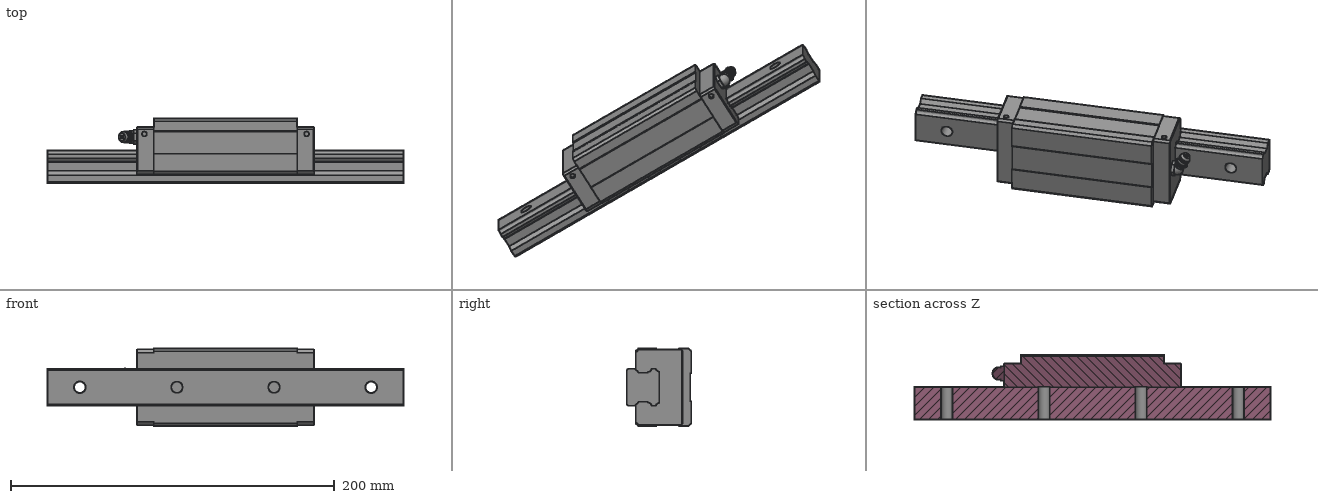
import cadquery as cq
import math


rail_length = 220.0
rail_width = 23.0
rail_height = 20.3
rail_foot_chamfer = 1.0
rail_top_half_width = 9.7
rail_crown_y = 19.9
rail_ridge_top_y = 17.7
rail_ridge_bottom_y = 15.5
rail_ridge_chamfer = 0.4
rail_waist_half_width = 9.1
rail_waist_top_y = 13.0
rail_waist_chamfer = 0.4
rail_track_radius = 2.5
rail_waist_bottom_y = 7.5
rail_foot_top_y = 5.0
rail_hole_diameter = 7.0
rail_hole_pitch = 60.0
rail_hole_count = 4

cutter_size = 200.0

assembly_height = 40.0
block_length = 88.5
block_width = 48.0
carriage_bottom_y = 5.5
block_chamfer = 1.8
side_recess_depth = 0.8
side_recess_bottom_y = 18.3
side_recess_top_y = 31.8
side_recess_slope = 0.6
top_recess_half_width = 8.6
top_recess_depth = 0.6

carriage_length = 109.6
cap_width = 47.1
cap_top_y = 34.7
cap_bottom_chamfer = 2.2
cap_top_chamfer = 1.4
cap_end_chamfer = 0.5
cap_hole_diameter = 3.0
cap_hole_depth = 2.5
cap_hole_x = 50.1
cap_hole_y = 30.4

nipple_y = 28.5
nipple_tilt = 30.0
nut_flats = 8.0
nut_thickness = 2.0
elbow_offset = 3.1
elbow_radius = 3.95
body_flats = 7.0
stem_radius = 3.0
body_bottom = 4.5
body_top = 5.9
neck_radius = 2.9
head_bottom = 8.4
head_radius = 3.3
head_cone_bottom = 10.2
tip_height = 12.2
tip_radius = 2.3
tip_bore_diameter = 1.8
tip_bore_depth = 2.0


def extrude_along_x(outline, length):
    """Extrude an outline on the YZ plane to both sides of X = 0."""
    return outline.extrude(length / 2, both=True)


def mirrored_outline(half_points):
    """Close a (Y, Z) outline from its +Z half, listed from one end of the centre line."""
    other_half = [(y, -z) for y, z in reversed(half_points)]
    return cq.Workplane("YZ").polyline(half_points + other_half).close()


def make_half_rail_bar():
    """The rail without its holes, on the +Z side only."""
    half_width = rail_width / 2
    ridge_edge_y = rail_ridge_top_y + rail_ridge_chamfer
    ridge_edge_half_width = half_width - rail_ridge_chamfer
    outline = (
        cq.Workplane("YZ")
        .lineTo(0, half_width - rail_foot_chamfer)
        .lineTo(rail_foot_chamfer, half_width)
        .lineTo(rail_foot_top_y, half_width)
        .lineTo(rail_waist_bottom_y, rail_waist_half_width)
        .lineTo(rail_waist_top_y, rail_waist_half_width)
        .lineTo(rail_waist_top_y + rail_waist_chamfer, rail_waist_half_width + rail_waist_chamfer)
        .radiusArc((rail_ridge_bottom_y, half_width), -rail_track_radius)
        .lineTo(rail_ridge_top_y, half_width)
        .lineTo(ridge_edge_y, ridge_edge_half_width)
        .radiusArc((rail_crown_y, rail_top_half_width), -rail_track_radius)
        .lineTo(rail_height, rail_top_half_width)
        .lineTo(rail_height, 0)
        .close()
    )
    return extrude_along_x(outline, rail_length)


def make_rail_bar():
    half_bar = make_half_rail_bar()
    return half_bar.union(half_bar.mirror("XY")).clean()


def make_rail(bar):
    holes = (
        cq.Workplane("XZ")
        .rarray(rail_hole_pitch, 1, rail_hole_count, 1)
        .circle(rail_hole_diameter / 2)
        .extrude(-rail_height)
    )
    return bar.cut(holes)


def make_block():
    half_width = block_width / 2
    recess_half_width = half_width - side_recess_depth
    outline = mirrored_outline([
        (carriage_bottom_y, half_width - block_chamfer),
        (carriage_bottom_y + block_chamfer, half_width),
        (side_recess_bottom_y, half_width),
        (side_recess_bottom_y, recess_half_width),
        (side_recess_top_y, recess_half_width),
        (side_recess_top_y + side_recess_slope, half_width),
        (assembly_height - block_chamfer, half_width),
        (assembly_height, half_width - block_chamfer),
        (assembly_height, top_recess_half_width),
        (assembly_height - top_recess_depth, top_recess_half_width),
    ])
    return extrude_along_x(outline, block_length)


def make_caps():
    """Both end caps as one bar through the block, so that the union with it is one solid."""
    half_width = cap_width / 2
    outline = mirrored_outline([
        (carriage_bottom_y, half_width - cap_bottom_chamfer),
        (carriage_bottom_y + cap_bottom_chamfer, half_width),
        (cap_top_y - cap_top_chamfer, half_width),
        (cap_top_y, half_width - cap_top_chamfer),
    ])
    bar = extrude_along_x(outline, carriage_length)
    bar = bar.faces("<X or >X").edges(">Y or <Z or >Z").chamfer(cap_end_chamfer)
    gap = cq.Workplane("XY").box(block_length, cutter_size, cutter_size)
    return bar.cut(gap)


def make_cap_holes():
    """Blind holes in both sides of each end cap."""
    centres = [(-cap_hole_x, cap_hole_y), (cap_hole_x, cap_hole_y)]
    core_width = cap_width - 2 * cap_hole_depth
    holes = cq.Workplane("XY").pushPoints(centres).circle(cap_hole_diameter / 2)
    core = cq.Workplane("XY").box(cutter_size, cutter_size, core_width)
    return holes.extrude(block_width / 2, both=True).cut(core)


def make_carriage(rail_bar):
    body = make_block().union(make_caps())
    return body.cut(make_cap_holes()).cut(rail_bar)


def hexagon(workplane, flats):
    return workplane.polygon(6, flats / math.cos(math.pi / 6))


def make_fitting():
    """The fitting above the elbow, upright along Z with its origin at the middle of the elbow."""
    stem = cq.Workplane("XY").circle(stem_radius).extrude(body_bottom)
    body_plane = cq.Workplane("XY").workplane(offset=body_bottom)
    body = hexagon(body_plane, body_flats).extrude(body_top - body_bottom)
    head = (
        cq.Workplane("XZ")
        .moveTo(0, body_top)
        .lineTo(neck_radius, body_top)
        .lineTo(neck_radius, head_bottom)
        .lineTo(head_radius, head_bottom)
        .lineTo(head_radius, head_cone_bottom)
        .lineTo(tip_radius, tip_height)
        .lineTo(0, tip_height)
        .close()
        .revolve(360, (0, 0, 0), (0, 1, 0))
    )
    fitting = stem.union(body).union(head)
    return fitting.faces(">Z").workplane().hole(tip_bore_diameter, tip_bore_depth)


def make_nipple():
    end_face_x = -carriage_length / 2
    elbow_x = end_face_x - elbow_offset
    nut_plane = cq.Workplane("YZ", origin=(end_face_x, nipple_y, 0))
    nut = hexagon(nut_plane, nut_flats).extrude(-nut_thickness)
    elbow = cq.Workplane("XY").sphere(elbow_radius).rotate((0, 0, 0), (0, 0, 1), 180)
    fitting = make_fitting().rotate((0, 0, 0), (0, 1, 0), -nipple_tilt)
    angled = elbow.union(fitting).translate((elbow_x, nipple_y, 0))
    beyond_end_face = cq.Workplane("XY").box(carriage_length, cutter_size, cutter_size)
    return nut.union(angled).cut(beyond_end_face)


rail_bar = make_rail_bar()
rail = make_rail(rail_bar)
carriage = make_carriage(rail_bar)
nipple = make_nipple()

result = cq.Compound.makeCompound([rail.solids().val(), carriage.solids().val(), nipple.solids().val()])